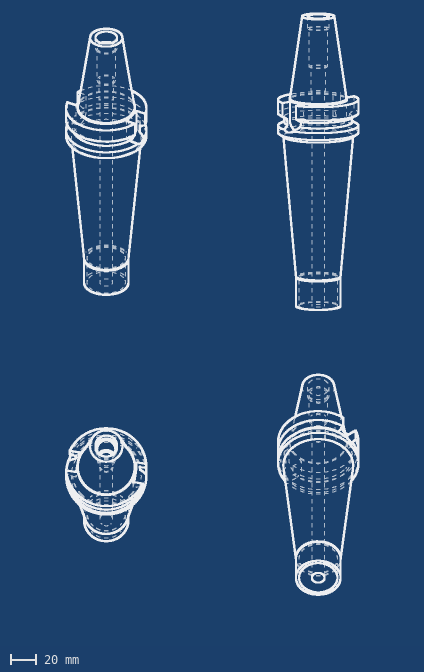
import cadquery as cq
import math

SHANK_TOP_Z = 65.4
NOSE_Z = -165.0

GAUGE_RADIUS = 22.225
TAPER_SLOPE = 7 / 48
SHANK_TOP_RADIUS = GAUGE_RADIUS - TAPER_SLOPE * SHANK_TOP_Z
SHANK_FOOT_RADIUS = 22.5

FLANGE_RADIUS = 31.5
FLANGE_TOP_Z = -0.8
UPPER_RIM_HEIGHT = 10.7
GROOVE_RADIUS = 26.6
GROOVE_SLOPE_ANGLE = 30
GROOVE_SLOPE_HEIGHT = (FLANGE_RADIUS - GROOVE_RADIUS) * math.tan(math.radians(GROOVE_SLOPE_ANGLE))
GROOVE_FLOOR_HEIGHT = 4.3
LOWER_RIM_HEIGHT = 5.5
FLANGE_CONE_HEIGHT = 2.8

BODY_TOP_RADIUS = 27.4
NUT_RADIUS = 17.5

NUT_TOP_Z = -142.3
NUT_GAP = 0.8
NECK_RADIUS = 15.0
NUT_LAND_HEIGHT = 2.1

BORE_STEPS = [(8.5, 9.6), (7.1, 40.0), (5.7, 60.0)]
THROUGH_BORE_RADIUS = 5.0

SLOT_WIDTH = 16.1
SLOT_FLOOR_X = 22.6
SLOT_DEPTH = 22.2


def revolve_outline(outline):
    """Turn an (r, z) outline about Z; faces that run on in line stay separate."""
    axis_start = (0, 0, 0)
    axis_end = (0, 1, 0)
    profile = cq.Workplane("XZ").polyline(outline).close()
    return profile.revolve(360, axis_start, axis_end, clean=False)


def make_holder():
    """Shank, flange, conical extension and neck turned as one piece, then bored and slotted."""
    rim_bottom = FLANGE_TOP_Z - UPPER_RIM_HEIGHT
    groove_top = rim_bottom - GROOVE_SLOPE_HEIGHT
    groove_bottom = groove_top - GROOVE_FLOOR_HEIGHT
    lower_rim_top = groove_bottom - GROOVE_SLOPE_HEIGHT
    lower_rim_bottom = lower_rim_top - LOWER_RIM_HEIGHT
    flange_bottom = lower_rim_bottom - FLANGE_CONE_HEIGHT
    outline = [
        (0, SHANK_TOP_Z),
        (SHANK_TOP_RADIUS, SHANK_TOP_Z),
        (GAUGE_RADIUS, 0),
        (SHANK_FOOT_RADIUS, 0),
        (SHANK_FOOT_RADIUS, FLANGE_TOP_Z),
        (FLANGE_RADIUS, FLANGE_TOP_Z),
        (FLANGE_RADIUS, rim_bottom),
        (GROOVE_RADIUS, groove_top),
        (GROOVE_RADIUS, groove_bottom),
        (FLANGE_RADIUS, lower_rim_top),
        (FLANGE_RADIUS, lower_rim_bottom),
        (BODY_TOP_RADIUS, flange_bottom),
        (NUT_RADIUS, NUT_TOP_Z + NUT_GAP),
        (NECK_RADIUS, NUT_TOP_Z + NUT_GAP),
        (NECK_RADIUS, NOSE_Z),
        (0, NOSE_Z),
    ]
    holder = revolve_outline(outline)
    holder = cut_bore(holder)
    for side in (-1, 1):
        holder = holder.cut(drive_slot(side))
    return holder


def cut_bore(holder):
    """Drill the stepped bore down from the shank end, then the through hole."""
    top = cq.Workplane("XY").workplane(offset=SHANK_TOP_Z)
    for radius, depth in BORE_STEPS:
        holder = holder.cut(top.circle(radius).extrude(-depth))
    return holder.cut(top.circle(THROUGH_BORE_RADIUS).extrude(NOSE_Z - SHANK_TOP_Z))


def drive_slot(side):
    """Cutter for one drive slot; side is -1 or 1 along X."""
    half_width = SLOT_WIDTH / 2
    arc_center_z = FLANGE_TOP_Z - SLOT_DEPTH + half_width
    depth = FLANGE_RADIUS - SLOT_FLOOR_X
    return (
        cq.Workplane("YZ", origin=(side * SLOT_FLOOR_X, 0, 0))
        .moveTo(-half_width, FLANGE_TOP_Z)
        .lineTo(-half_width, arc_center_z)
        .threePointArc((0, FLANGE_TOP_Z - SLOT_DEPTH), (half_width, arc_center_z))
        .lineTo(half_width, FLANGE_TOP_Z)
        .close()
        .extrude(side * depth)
    )


def make_nut():
    """Ring round the holder's neck; a face line marks off the land at its upper end."""
    outline = [
        (NECK_RADIUS, NUT_TOP_Z),
        (NUT_RADIUS, NUT_TOP_Z),
        (NUT_RADIUS, NUT_TOP_Z - NUT_LAND_HEIGHT),
        (NUT_RADIUS, NOSE_Z),
        (NECK_RADIUS, NOSE_Z),
    ]
    return revolve_outline(outline)


holder = make_holder()
nut = make_nut()
result = cq.Compound.makeCompound([holder.val(), nut.val()])